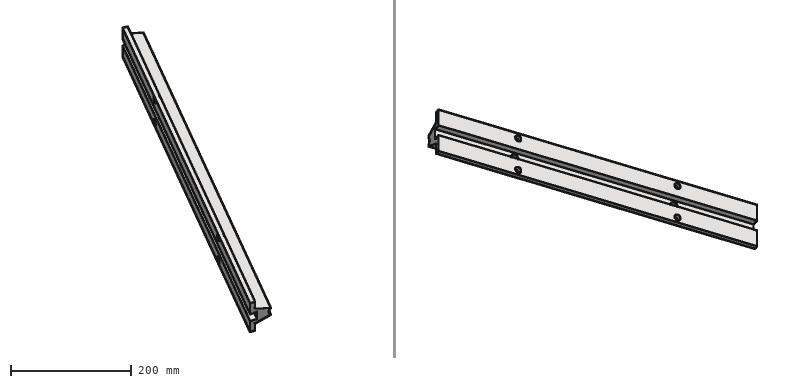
import cadquery as cq

length = 599.5
depth = 37.0
height = 84.0

flange_thickness = 9.0
slot_width = 20.0
slot_depth = 12.5
rib_base_width = 43.0
rib_tip_width = 20.0
notch_depth = 4.0

hole_spacing = 300.0
flange_hole_diameter = 11.0
center_hole_diameter = 13.0
flange_hole_height = (height + rib_base_width) / 4


def make_profile():
    """Extrude the flanged, tapered section along X."""
    upper_half = [
        (slot_depth, 0),
        (slot_depth, slot_width / 2),
        (0, slot_width / 2),
        (0, height / 2),
        (flange_thickness, height / 2),
        (flange_thickness, rib_base_width / 2),
        (depth, rib_tip_width / 2),
        (depth - notch_depth, 0),
    ]
    half_body = cq.Workplane("YZ").polyline(upper_half).close().extrude(length / 2, both=True)
    return half_body.union(half_body.mirror("XY")).clean()


def make_holes(hole_height, diameter):
    """A pair of cylinders through the full depth at the given height."""
    centers = [(side * hole_spacing / 2, hole_height) for side in (-1, 1)]
    return cq.Workplane("XZ").pushPoints(centers).circle(diameter / 2).extrude(-depth)


result = make_profile()
result = result.cut(make_holes(0, center_hole_diameter))
for side in (-1, 1):
    result = result.cut(make_holes(side * flange_hole_height, flange_hole_diameter))